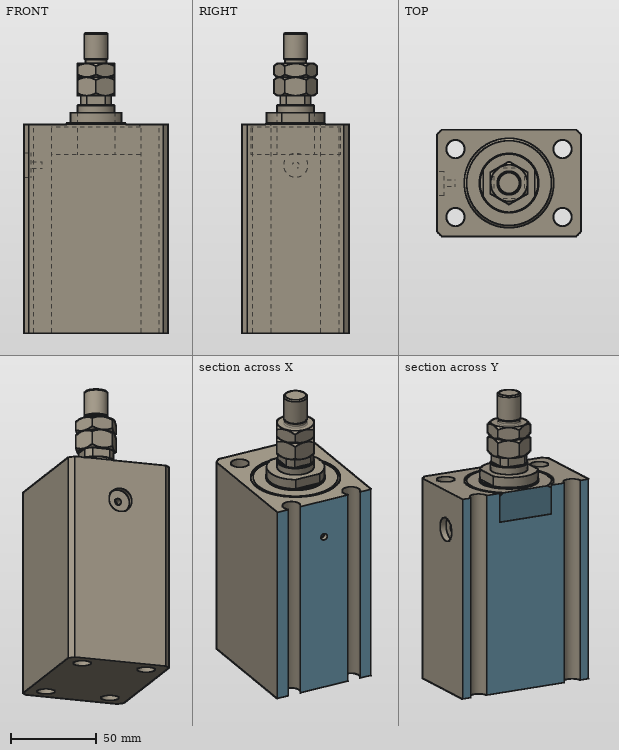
import cadquery as cq
import math


HOUSING_LENGTH = 85.0
HOUSING_WIDTH = 63.0
HOUSING_HEIGHT = 123.0
CORNER_CHAMFER = 3.0

BOLT_HOLE_DIAMETER = 10.6
BOLT_SPACING_X = 63.0
BOLT_SPACING_Y = 40.0

PORT_HEIGHT = 99.0
PORT_DIAMETER = 14.2
PORT_DEPTH = 4.0
OIL_HOLE_DIAMETER = 3.9
OIL_HOLE_DEPTH = 10.6

GLAND_DIAMETER = 52.7
GLAND_DEPTH = 17.7
GLAND_CHAMFER = 1.5
COLLAR_BASE_DIAMETER = 35.0
COLLAR_DIAMETER = 34.1
COLLAR_ACROSS_FLATS = 30.0
COLLAR_FLAT_LIFT = 0.9
COLLAR_TOP = HOUSING_HEIGHT + 6.9

ROD_DIAMETER = 22.0
ROD_SHOULDER_HEIGHT = HOUSING_HEIGHT + 11.5
ROD_END_DIAMETER = 21.0
ROD_ACROSS_FLATS = 18.0
ROD_END_LENGTH = 5.3

HEX_ACROSS_FLATS = 22.0
HEX_FACE_DIAMETER = 21.5
HEX_CHAMFER_HEIGHT = 1.6
LOWER_HEX_HEIGHT = 11.0
UPPER_HEX_HEIGHT = 8.1
NECK_DIAMETER = 12.5
NECK_LENGTH = 2.8
NECK_FILLET = 0.7
STUD_DIAMETER = 14.0
STUD_CHAMFER = 0.9
OVERALL_HEIGHT = 176.9

gland_bottom = HOUSING_HEIGHT - GLAND_DEPTH
rod_top = ROD_SHOULDER_HEIGHT + ROD_END_LENGTH
upper_hex_bottom = rod_top + LOWER_HEX_HEIGHT
stud_shoulder = upper_hex_bottom + UPPER_HEX_HEIGHT


def cylinder(diameter, bottom, top):
    """Round bar on the rod axis between two heights."""
    return cq.Workplane("XY").workplane(offset=bottom).circle(diameter / 2).extrude(top - bottom)


def make_housing():
    block = (
        cq.Workplane("XY")
        .box(HOUSING_LENGTH, HOUSING_WIDTH, HOUSING_HEIGHT, centered=(True, True, False))
        .edges("|Z")
        .chamfer(CORNER_CHAMFER)
    )
    bolt_holes = (
        cq.Workplane("XY")
        .rarray(BOLT_SPACING_X, BOLT_SPACING_Y, 2, 2)
        .circle(BOLT_HOLE_DIAMETER / 2)
        .extrude(HOUSING_HEIGHT)
    )
    port_plane = cq.Workplane("YZ", origin=(-HOUSING_LENGTH / 2, 0, PORT_HEIGHT))
    port = port_plane.circle(PORT_DIAMETER / 2).extrude(PORT_DEPTH)
    oil_hole = port_plane.circle(OIL_HOLE_DIAMETER / 2).extrude(OIL_HOLE_DEPTH)
    gland_bore = cylinder(GLAND_DIAMETER, gland_bottom, HOUSING_HEIGHT)
    return block.cut(bolt_holes).cut(port).cut(oil_hole).cut(gland_bore)


def make_gland():
    ring = cylinder(GLAND_DIAMETER, gland_bottom, HOUSING_HEIGHT).faces(">Z").chamfer(GLAND_CHAMFER)

    foot_chamfer = (COLLAR_BASE_DIAMETER - COLLAR_DIAMETER) / 2
    foot_top = HOUSING_HEIGHT + COLLAR_FLAT_LIFT
    foot = cylinder(COLLAR_BASE_DIAMETER, HOUSING_HEIGHT, foot_top).faces(">Z").chamfer(foot_chamfer)
    head_height = COLLAR_TOP - foot_top
    flats = (
        cq.Workplane("XY")
        .workplane(offset=foot_top)
        .rect(COLLAR_ACROSS_FLATS, COLLAR_BASE_DIAMETER)
        .extrude(head_height)
    )
    head = cylinder(COLLAR_DIAMETER, foot_top, COLLAR_TOP).intersect(flats)

    rod_bore = cylinder(ROD_DIAMETER, gland_bottom, COLLAR_TOP)
    return ring.union(foot).union(head).cut(rod_bore)


def make_rod():
    shoulder_chamfer = (ROD_DIAMETER - ROD_END_DIAMETER) / 2
    shaft = cylinder(ROD_DIAMETER, gland_bottom, ROD_SHOULDER_HEIGHT).faces(">Z").chamfer(shoulder_chamfer)
    flats = (
        cq.Workplane("XY")
        .workplane(offset=ROD_SHOULDER_HEIGHT)
        .rect(ROD_ACROSS_FLATS, ROD_ACROSS_FLATS)
        .extrude(ROD_END_LENGTH)
    )
    end = cylinder(ROD_END_DIAMETER, ROD_SHOULDER_HEIGHT, rod_top).intersect(flats)
    return shaft.union(end)


def make_hexagon(bottom, height):
    """Hexagon with corners on the Y axis and its corners turned down at both ends."""
    across_corners = HEX_ACROSS_FLATS / math.cos(math.pi / 6)
    corner_chamfer = (across_corners - HEX_FACE_DIAMETER) / 2
    prism = (
        cq.Workplane("XY")
        .workplane(offset=bottom)
        .transformed(rotate=(0, 0, 90))
        .polygon(6, across_corners)
        .extrude(height)
    )
    envelope = cylinder(across_corners, bottom, bottom + height)
    upper_cut = envelope.faces(">Z").chamfer(HEX_CHAMFER_HEIGHT, corner_chamfer)
    lower_cut = envelope.faces("<Z").chamfer(HEX_CHAMFER_HEIGHT, corner_chamfer)
    return prism.intersect(upper_cut).intersect(lower_cut)


def make_coupling():
    lower_hex = make_hexagon(rod_top, LOWER_HEX_HEIGHT)
    upper_hex = make_hexagon(upper_hex_bottom, UPPER_HEX_HEIGHT)

    neck_radius = NECK_DIAMETER / 2
    stud_radius = STUD_DIAMETER / 2
    stud_bottom = stud_shoulder + NECK_LENGTH
    fillet_top = stud_shoulder + NECK_FILLET
    fillet_center_radius = neck_radius + NECK_FILLET
    arc_offset = NECK_FILLET * math.sqrt(0.5)
    stud = (
        cq.Workplane("XZ")
        .moveTo(0, stud_shoulder)
        .lineTo(fillet_center_radius, stud_shoulder)
        .threePointArc((fillet_center_radius - arc_offset, fillet_top - arc_offset), (neck_radius, fillet_top))
        .lineTo(neck_radius, stud_bottom - (stud_radius - neck_radius))
        .lineTo(stud_radius, stud_bottom)
        .lineTo(stud_radius, OVERALL_HEIGHT - STUD_CHAMFER)
        .lineTo(stud_radius - STUD_CHAMFER, OVERALL_HEIGHT)
        .lineTo(0, OVERALL_HEIGHT)
        .close()
        .revolve(360, (0, 0, 0), (0, 1, 0))
    )
    return lower_hex.union(upper_hex).union(stud)


housing = make_housing()
gland = make_gland()
rod = make_rod()
coupling = make_coupling()

result = cq.Compound.makeCompound([housing.val(), gland.val(), rod.val(), coupling.val()])